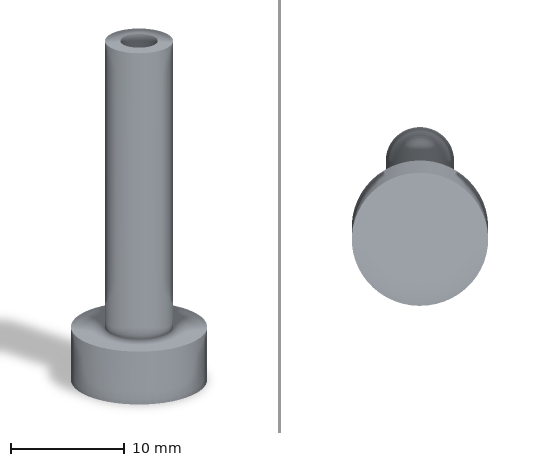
import cadquery as cq
import math

total_height = 32.0
head_diameter = 12.0
head_height = 5.0
shank_diameter = head_diameter / 2

hole_diameter = 3.3
hole_depth = 3 * hole_diameter
drill_point_angle = 118.0


def make_body():
    """Round head on the XY plane with a plain shank standing on it."""
    head = cq.Workplane("XY").circle(head_diameter / 2).extrude(head_height)
    return head.faces(">Z").workplane().circle(shank_diameter / 2).extrude(total_height - head_height)


def make_drilled_hole():
    """Cutter for the blind hole: a cylinder ending in a conical drill point."""
    hole_radius = hole_diameter / 2
    point_height = hole_radius / math.tan(math.radians(drill_point_angle / 2))
    cone_start = total_height - hole_depth
    half_profile = (
        cq.Workplane("XZ")
        .moveTo(0, total_height)
        .lineTo(hole_radius, total_height)
        .lineTo(hole_radius, cone_start)
        .lineTo(0, cone_start - point_height)
        .close()
    )
    return half_profile.revolve(360, (0, 0, 0), (0, 1, 0))


result = make_body().cut(make_drilled_hole())